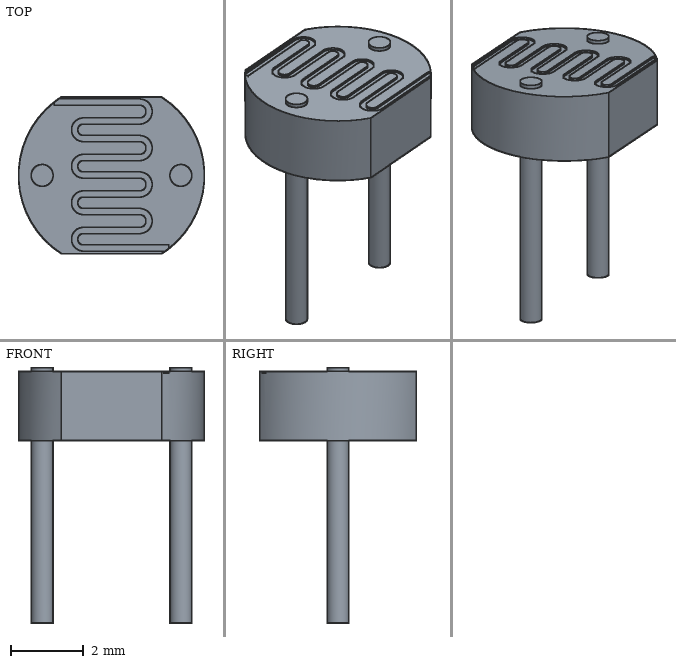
import cadquery as cq

body_diameter = 5.1
body_width = 4.3
body_height = 1.9

lead_diameter = 0.6
lead_spacing = 3.8
lead_length_below = 5.0
lead_head_height = 0.1

groove_width = 0.17
groove_depth = 0.05
groove_first_y = 2.01
right_turn_pitch = 0.52
left_turn_pitch = 0.48
turn_pairs = 4
turn_center_x = 0.77
groove_end_x = 1.57


def make_body():
    disc = cq.Workplane("XY").circle(body_diameter / 2).extrude(body_height)
    flats = cq.Workplane("XY").rect(body_diameter, body_width).extrude(body_height)
    return disc.intersect(flats)


def make_leads():
    lead_length = lead_length_below + body_height + lead_head_height
    return (
        cq.Workplane("XY", origin=(0, 0, -lead_length_below))
        .pushPoints([(-lead_spacing / 2, 0), (lead_spacing / 2, 0)])
        .circle(lead_diameter / 2)
        .extrude(lead_length)
    )


def groove_run(start_x, end_x, y):
    """Straight run of the groove along X."""
    return (
        cq.Workplane("XY", origin=(0, 0, body_height))
        .center((start_x + end_x) / 2, y)
        .rect(end_x - start_x, groove_width)
        .extrude(-groove_depth)
    )


def groove_turn(upper_y, pitch, side):
    """Half-ring joining two runs; side is +1 for a right turn, -1 for a left turn."""
    middle_radius = pitch / 2
    outer_radius = middle_radius + groove_width / 2
    inner_radius = middle_radius - groove_width / 2
    center_x = side * turn_center_x
    center_y = upper_y - middle_radius
    return (
        cq.Workplane("XY", origin=(center_x, center_y, body_height))
        .moveTo(0, outer_radius)
        .threePointArc((side * outer_radius, 0), (0, -outer_radius))
        .lineTo(0, -inner_radius)
        .threePointArc((side * inner_radius, 0), (0, inner_radius))
        .close()
        .extrude(-groove_depth)
    )


def make_groove():
    y = groove_first_y
    groove = groove_run(-groove_end_x, turn_center_x, y)
    for pair in range(turn_pairs):
        groove = groove.union(groove_turn(y, right_turn_pitch, 1))
        y -= right_turn_pitch
        groove = groove.union(groove_run(-turn_center_x, turn_center_x, y))
        groove = groove.union(groove_turn(y, left_turn_pitch, -1))
        y -= left_turn_pitch
        is_last_run = pair == turn_pairs - 1
        run_end_x = groove_end_x if is_last_run else turn_center_x
        groove = groove.union(groove_run(-turn_center_x, run_end_x, y))
    return groove


result = make_body().cut(make_groove()).union(make_leads())